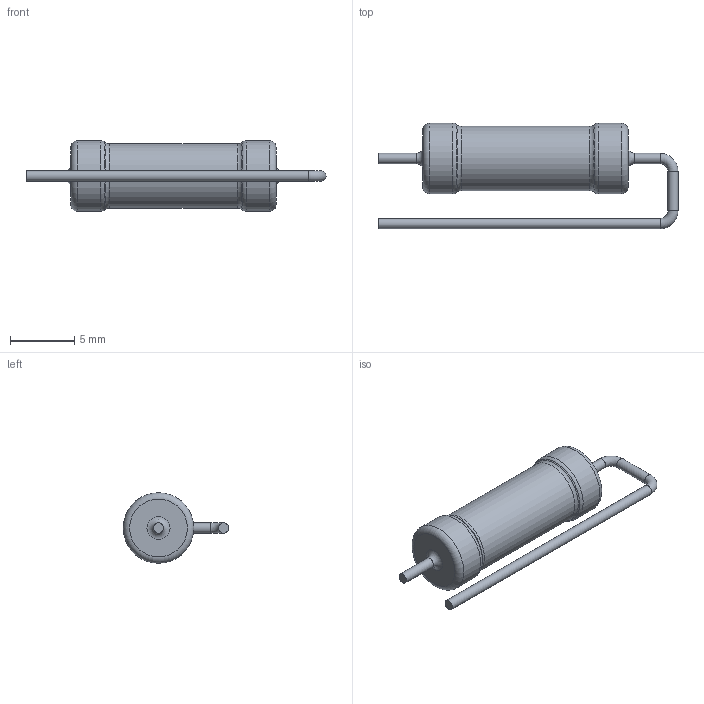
import cadquery as cq
import math


body_length = 16.0
cap_radius = 2.75
barrel_radius = 2.5
cap_width = 2.5
shoulder_length = 0.35
shoulder_blend = 0.5
cap_rounding = 0.5

lead_radius = 0.4
lead_pitch = 5.08
bend_radius = 1.0
straight_lead = 3.5
bend_start_gap = 2.5
lead_flare = 0.5

body_start = straight_lead
body_end = body_start + body_length
bend_start = body_end + bend_start_gap
bend_end = bend_start + bend_radius


def make_body():
    """Turned body: two rounded caps, a slimmer barrel and flared lead roots."""
    middle = body_length / 2
    flare_rim = lead_radius + lead_flare
    flat_rim = cap_radius - cap_rounding
    arc_step = math.sqrt(0.5)

    slope = math.atan2(cap_radius - barrel_radius, shoulder_length)
    tangent_length = shoulder_blend * math.tan(slope / 2)
    arc_run = shoulder_blend * math.sin(slope)
    arc_drop = shoulder_blend * (1 - math.cos(slope))
    half_run = shoulder_blend * math.sin(slope / 2)
    half_drop = shoulder_blend * (1 - math.cos(slope / 2))
    convex_start = cap_width - tangent_length
    concave_end = cap_width + shoulder_length + tangent_length

    half_profile = (
        cq.Workplane("XZ")
        .moveTo(-lead_flare, 0)
        .lineTo(-lead_flare, lead_radius)
        .threePointArc(
            (-lead_flare * (1 - arc_step), flare_rim - lead_flare * arc_step),
            (0, flare_rim),
        )
        .lineTo(0, flat_rim)
        .threePointArc(
            (cap_rounding * (1 - arc_step), flat_rim + cap_rounding * arc_step),
            (cap_rounding, cap_radius),
        )
        .lineTo(convex_start, cap_radius)
        .threePointArc(
            (convex_start + half_run, cap_radius - half_drop),
            (convex_start + arc_run, cap_radius - arc_drop),
        )
        .lineTo(concave_end - arc_run, barrel_radius + arc_drop)
        .threePointArc(
            (concave_end - half_run, barrel_radius + half_drop),
            (concave_end, barrel_radius),
        )
        .lineTo(middle, barrel_radius)
        .lineTo(middle, 0)
        .close()
    )
    half = half_profile.revolve(360, (0, 0, 0), (1, 0, 0))
    other_half = half.mirror("YZ", (middle, 0, 0))
    return half.union(other_half).translate((body_start, 0, 0))


def make_lead():
    """Round wire along the body axis, turned through two bends to run back to X = 0."""
    arc_inset = bend_radius * (1 - math.sqrt(0.5))
    arc_middle_x = bend_end - arc_inset
    path = (
        cq.Workplane("XY")
        .moveTo(0, 0)
        .lineTo(bend_start, 0)
        .threePointArc((arc_middle_x, -arc_inset), (bend_end, -bend_radius))
        .lineTo(bend_end, -lead_pitch + bend_radius)
        .threePointArc((arc_middle_x, -lead_pitch + arc_inset), (bend_start, -lead_pitch))
        .lineTo(0, -lead_pitch)
    )
    return cq.Workplane("YZ").circle(lead_radius).sweep(path)


result = make_body().union(make_lead())